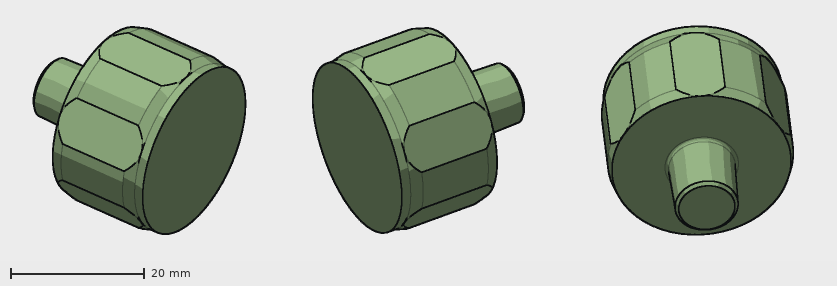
import cadquery as cq
import math

STUD_LENGTH = 10.0
STUD_GAUGE_DIAMETER = 9.728
STUD_GAUGE_LENGTH = 4.0
STUD_TAPER = 1 / 16
STUD_CHAMFER = 0.5
STUD_ROOT_FILLET = 0.5

HEX_ACROSS_FLATS = 27.0
HEX_CORNER_DIAMETER = 28.0
HEX_LENGTH = 15.0
HEX_CHAMFER_ANGLE = 15.0
FLAT_COUNT = 6

RIM_LENGTH = 1.5

HEX_START = STUD_LENGTH
HEX_END = HEX_START + HEX_LENGTH
FLAT_RADIUS = HEX_ACROSS_FLATS / 2
CORNER_RADIUS = HEX_CORNER_DIAMETER / 2
HEX_SHARP_DIAMETER = HEX_ACROSS_FLATS / math.cos(math.pi / FLAT_COUNT)
HEX_CHAMFER_LENGTH = (CORNER_RADIUS - FLAT_RADIUS) / math.tan(math.radians(HEX_CHAMFER_ANGLE))


def stud_radius(x):
    """Radius of the tapered stud at a distance x from its tip."""
    return (STUD_GAUGE_DIAMETER + STUD_TAPER * (x - STUD_GAUGE_LENGTH)) / 2


def make_hex_nut():
    """Hexagonal prism with rounded corners and conical chamfers at both ends."""
    turned = (
        cq.Workplane("XY")
        .moveTo(HEX_START, 0)
        .lineTo(HEX_START, FLAT_RADIUS)
        .lineTo(HEX_START + HEX_CHAMFER_LENGTH, CORNER_RADIUS)
        .lineTo(HEX_END - HEX_CHAMFER_LENGTH, CORNER_RADIUS)
        .lineTo(HEX_END, FLAT_RADIUS)
        .lineTo(HEX_END, 0)
        .close()
        .revolve(360, (0, 0, 0), (1, 0, 0))
    )
    prism = (
        cq.Workplane("YZ", origin=(HEX_START, 0, 0))
        .polygon(FLAT_COUNT, HEX_SHARP_DIAMETER)
        .extrude(HEX_LENGTH)
    )
    return turned.intersect(prism)


def make_rim():
    """Plain round rim behind the hexagon."""
    return cq.Workplane("YZ", origin=(HEX_END, 0, 0)).circle(FLAT_RADIUS).extrude(RIM_LENGTH)


def make_stud():
    """Solid tapered stud with a chamfered tip, reaching the front face of the hexagon."""
    return (
        cq.Workplane("XY")
        .lineTo(0, stud_radius(0) - STUD_CHAMFER)
        .lineTo(STUD_CHAMFER, stud_radius(STUD_CHAMFER))
        .lineTo(STUD_LENGTH, stud_radius(STUD_LENGTH))
        .lineTo(STUD_LENGTH, 0)
        .close()
        .revolve(360, (0, 0, 0), (1, 0, 0))
    )


def fillet_stud_root(body):
    """Round the inner corner where the stud meets the front face of the hexagon."""
    root_radius = stud_radius(STUD_LENGTH)
    margin = STUD_ROOT_FILLET / 2
    root_edge = cq.selectors.BoxSelector(
        (HEX_START - margin, -root_radius - margin, -root_radius - margin),
        (HEX_START + margin, root_radius + margin, root_radius + margin),
        boundingbox=True,
    )
    return body.edges(root_edge).fillet(STUD_ROOT_FILLET)


result = fillet_stud_root(make_hex_nut().union(make_rim()).union(make_stud()))